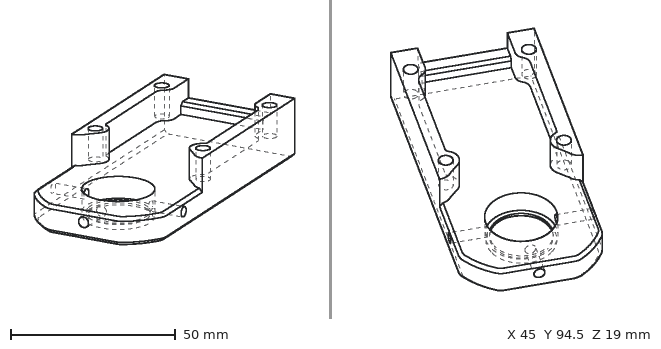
import cadquery as cq
import math

width = 45.0
length = 94.5
height = 19.0
half_width = width / 2
front_y = -half_width
back_y = front_y + length

plate_thickness = 9.1
edge_chamfer = 1.1
nose_radius = 25.6
nose_blend = 4.8

seat_diameter = 22.2
bore_diameter = 19.4
lip_height = 2.0
cross_hole_z = 5.6
side_hole_diameter = 3.2
front_hole_diameter = 3.4

screw_x = 18.5
front_screw_y = 20.0
screw_spacing = 43.0
back_screw_y = front_screw_y + screw_spacing
screw_diameter = 4.4
screw_depth = height - plate_thickness
boss_radius = 4.2
wall_inner_x = 17.5
wall_front_y = 12.1
front_blend_radius = 1.4
ramp_length = 4.2
wall_end_radius = 4.5
back_pad_inner_x = 14.1
back_pad_front_y = 62.7
back_curve_length = 5.6

ledge_top = 12.85
ledge_depth = 4.9
ledge_chamfer = 1.0


def make_plate():
    """Plate with a nose concentric to the bore and chamfered edges except at the back."""
    blank = cq.Workplane("XY").rect(width, length).extrude(plate_thickness)
    blank = blank.translate((0, front_y + length / 2, 0))
    nose_disc = cq.Workplane("XY").circle(nose_radius).extrude(plate_thickness)
    body = cq.Workplane("XY").rect(width, back_y).extrude(plate_thickness)
    body = body.translate((0, back_y / 2, 0))
    plate = blank.intersect(nose_disc.union(body))
    plate = plate.edges("|Z and (not >Y)").fillet(nose_blend)
    return plate.faces("<Z or >Z").edges("not >Y").chamfer(edge_chamfer)


def make_wall():
    """Left wall: a full-depth pad at the back and a round boss at the front screw."""
    diagonal = math.sqrt(0.5)
    blend_x = -wall_inner_x + front_blend_radius
    reach = boss_radius + front_blend_radius
    blend_y = front_screw_y + math.sqrt(reach**2 - (blend_x + screw_x) ** 2)
    boss_share = boss_radius / reach
    boss_start = (
        -screw_x + (blend_x + screw_x) * boss_share,
        front_screw_y + (blend_y - front_screw_y) * boss_share,
    )
    boss_end = (-screw_x + boss_radius * diagonal, front_screw_y - boss_radius * diagonal)
    ramp_end = (boss_end[0] - ramp_length * diagonal, boss_end[1] - ramp_length * diagonal)
    curve_middle = (
        -(back_pad_inner_x + wall_inner_x) / 2,
        back_pad_front_y - back_curve_length / 2,
    )
    base_z = plate_thickness - edge_chamfer
    return (
        cq.Workplane("XY", origin=(0, 0, base_z))
        .moveTo(-half_width, back_y)
        .lineTo(-back_pad_inner_x, back_y)
        .lineTo(-back_pad_inner_x, back_pad_front_y)
        .tangentArcPoint(curve_middle, relative=False)
        .tangentArcPoint((-wall_inner_x, back_pad_front_y - back_curve_length), relative=False)
        .lineTo(-wall_inner_x, blend_y)
        .tangentArcPoint(boss_start, relative=False)
        .threePointArc((-screw_x + boss_radius, front_screw_y), boss_end)
        .lineTo(*ramp_end)
        .radiusArc((-half_width, wall_front_y), wall_end_radius)
        .close()
        .extrude(height - base_z)
    )


def make_ledge():
    """Low bar between the back pads, chamfered along its inner top edge."""
    base_z = plate_thickness - edge_chamfer
    ledge = cq.Workplane("XY").box(
        width, ledge_depth, ledge_top - base_z, centered=(True, False, False)
    )
    ledge = ledge.faces(">Z").edges("<Y").chamfer(ledge_chamfer)
    return ledge.translate((0, back_y - ledge_depth, base_z))


def cut_holes(part):
    """Stepped bore chamfered at its underside, cross holes into the bore, and blind screw holes."""
    part = part.cut(cq.Workplane("XY").circle(bore_diameter / 2).extrude(plate_thickness))
    flare = cq.Workplane("XY").circle(bore_diameter / 2 + edge_chamfer)
    part = part.cut(flare.workplane(offset=edge_chamfer).circle(bore_diameter / 2).loft())
    seat = cq.Workplane("XY", origin=(0, 0, lip_height)).circle(seat_diameter / 2)
    part = part.cut(seat.extrude(plate_thickness - lip_height))
    side_hole = cq.Workplane("YZ").center(0, cross_hole_z).circle(side_hole_diameter / 2)
    part = part.cut(side_hole.extrude(half_width, both=True))
    front_hole = cq.Workplane("XZ").center(0, cross_hole_z).circle(front_hole_diameter / 2)
    part = part.cut(front_hole.extrude(-front_y))
    screw_points = [(x, y) for x in (-screw_x, screw_x) for y in (front_screw_y, back_screw_y)]
    screws = cq.Workplane("XY", origin=(0, 0, height)).pushPoints(screw_points)
    return part.cut(screws.circle(screw_diameter / 2).extrude(-screw_depth))


left_wall = make_wall()
right_wall = left_wall.mirror("YZ")
body = make_plate().union(left_wall).union(right_wall).union(make_ledge())
result = cut_holes(body)